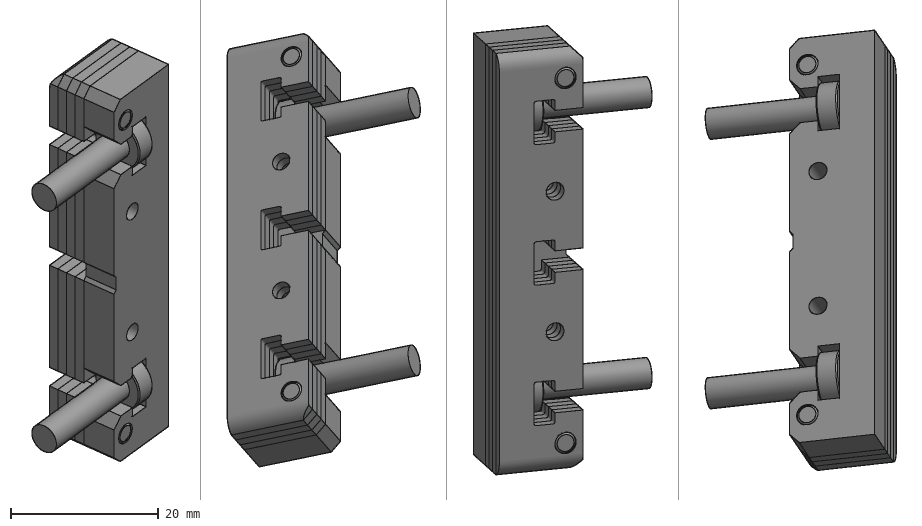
import cadquery as cq


height = 60.0
depth = 12.0
outer_plate_thickness = 1.45
plate_thickness = 1.5
inner_plate_count = 3
block_thickness = 5.2
block_start = outer_plate_thickness + inner_plate_count * plate_thickness
stack_thickness = block_start + block_thickness
edge_chamfer = 1.4
nose_height = 2.2

screw_z = height / 3
screw_positions = (-screw_z, screw_z)
head_diameter = 7.7
head_height = 3.0
head_seat_y = 4.0
head_chamfer = 0.2
shank_diameter = 4.25
shank_reach = 12.0
screw_x = 8.5

slot_head_width = 6.2
slot_stem_width = 3.05
slot_corner_radius = 0.3
slot_positions = (-screw_z, 0.0, screw_z)

head_recess_width = 8.05
shank_slot_width = 5.05
lead_in = (head_recess_width - shank_slot_width) / 2
groove_depth = 0.5

pin_diameter = 3.0
pin_chamfer = 0.3
pin_y = 2.5
pin_z = 26.0
hole_diameter = 2.5
hole_y = 4.0
hole_z = height / 6


def layer(x_start, thickness):
    """Slab of the stack with its two Y = 0 end edges chamfered."""
    slab = cq.Workplane("XY").box(thickness, depth, height, centered=(False, False, True))
    return slab.faces("<Y").edges("|X").chamfer(edge_chamfer).translate((x_start, 0, 0))


def prism_along_x(outline, x_start, length):
    """Extrude a closed list of (y, z) points along X."""
    return cq.Workplane("YZ").workplane(offset=x_start).polyline(outline).close().extrude(length)


def bores(diameter, y, z):
    """A pair of cylinders through the whole stack, at +z and -z."""
    centers = [(y, z), (y, -z)]
    return cq.Workplane("YZ").pushPoints(centers).circle(diameter / 2).extrude(stack_thickness)


def t_slot(z):
    """T-shaped cutter through all the plates, open at Y = 0."""
    head = (
        cq.Workplane("XY")
        .box(block_start, head_height, slot_head_width, centered=(False, False, True))
        .edges("|X")
        .fillet(slot_corner_radius)
        .translate((0, head_seat_y, 0))
    )
    stem_length = head_seat_y + head_height / 2
    stem = cq.Workplane("XY").box(block_start, stem_length, slot_stem_width, centered=(False, False, True))
    return head.union(stem).translate((0, 0, z))


def nose_envelope():
    """Outer plate profile: end arcs tangent to X = 0 that meet the end faces at the plate joint."""
    radius = (outer_plate_thickness**2 + nose_height**2) / (2 * outer_plate_thickness)
    top = height / 2
    tangent_z = top - nose_height
    return (
        cq.Workplane("XZ")
        .moveTo(outer_plate_thickness, -top)
        .lineTo(outer_plate_thickness, top)
        .radiusArc((0, tangent_z), -radius)
        .lineTo(0, -tangent_z)
        .radiusArc((outer_plate_thickness, -top), -radius)
        .close()
        .extrude(-depth)
    )


def drill_stack_holes(body):
    """Cut the through holes and the pin holes that run along X through the stack."""
    body = body.cut(bores(hole_diameter, hole_y, hole_z))
    return body.cut(bores(pin_diameter, pin_y, pin_z))


def machine_plate(blank):
    """Cut the T-slots and the stack holes into a plate."""
    for z in slot_positions:
        blank = blank.cut(t_slot(z))
    return drill_stack_holes(blank)


def outer_plate():
    """Outermost plate, with rounded end edges."""
    return machine_plate(layer(0, outer_plate_thickness).intersect(nose_envelope()))


def inner_plate(index):
    """One of the identical plates between the outer plate and the block."""
    x_start = outer_plate_thickness + index * plate_thickness
    return machine_plate(layer(x_start, plate_thickness))


def screw_slot(z):
    """Cutter for one screw in the block: flared mouth, shank slot and head recess."""
    mouth = head_recess_width / 2
    neck = shank_slot_width / 2
    recess_end = head_seat_y + head_height
    upper = [(0, mouth), (lead_in, neck), (head_seat_y, neck), (head_seat_y, mouth), (recess_end, mouth)]
    lower = [(y, -half_width) for y, half_width in reversed(upper)]
    return prism_along_x(upper + lower, block_start, block_thickness).translate((0, 0, z))


def middle_groove():
    """Shallow groove with 45-degree sides across the Y = 0 face of the block."""
    mouth = slot_stem_width / 2
    floor = mouth - groove_depth
    outline = [(0, mouth), (groove_depth, floor), (groove_depth, -floor), (0, -mouth)]
    return prism_along_x(outline, block_start, block_thickness)


def backing_block():
    """Thick block behind the plates."""
    body = layer(block_start, block_thickness)
    for z in screw_positions:
        body = body.cut(screw_slot(z))
    return drill_stack_holes(body.cut(middle_groove()))


def screw(z):
    """Round-headed screw pointing toward -Y, its head captured in the block."""
    seat = cq.Workplane("XZ", origin=(screw_x, head_seat_y, z))
    head = seat.circle(head_diameter / 2).extrude(-head_height).edges().chamfer(head_chamfer)
    shank = seat.circle(shank_diameter / 2).extrude(head_seat_y + shank_reach)
    return head.union(shank)


def pin(z):
    """Dowel pin through the whole stack, chamfered at both ends."""
    rod = cq.Workplane("YZ", origin=(0, pin_y, z)).circle(pin_diameter / 2).extrude(stack_thickness)
    return rod.edges("%CIRCLE").chamfer(pin_chamfer)


facing_plate = outer_plate()
inner_plates = [inner_plate(index) for index in range(inner_plate_count)]
block = backing_block()
screws = [screw(z) for z in screw_positions]
pins = [pin(z) for z in (-pin_z, pin_z)]

bodies = [facing_plate, *inner_plates, block, *screws, *pins]
result = cq.Compound.makeCompound([body.val() for body in bodies])